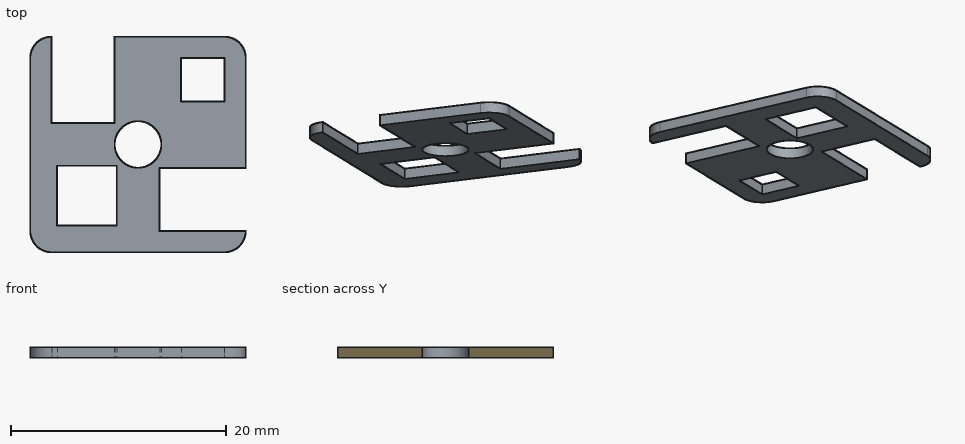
import cadquery as cq

side = 20.0
thickness = 1.0
corner_radius = 2.0
rim = 2.0

hole_diameter = 4.3
slot_width = 5.8
slot_depth = 8.0
small_window = 4.0
small_window_centre = 6.0
large_window = 5.5
large_window_centre = -4.75

half_side = side / 2
slot_offset = -half_side + rim + slot_width / 2
slot_middle = half_side - slot_depth / 2


def rectangular_cutter(x, y, width, height):
    """Block through the full thickness, centred at (x, y)."""
    return cq.Workplane("XY").center(x, y).rect(width, height).extrude(thickness)


plate = (
    cq.Workplane("XY")
    .rect(side, side)
    .extrude(thickness)
    .edges("|Z")
    .fillet(corner_radius)
)

plate = plate.faces(">Z").workplane().hole(hole_diameter)

for centre, size in (
    (small_window_centre, small_window),
    (large_window_centre, large_window),
):
    plate = plate.cut(rectangular_cutter(centre, centre, size, size))

plate = plate.cut(rectangular_cutter(slot_offset, slot_middle, slot_width, slot_depth))
plate = plate.cut(rectangular_cutter(slot_middle, slot_offset, slot_depth, slot_width))

result = plate